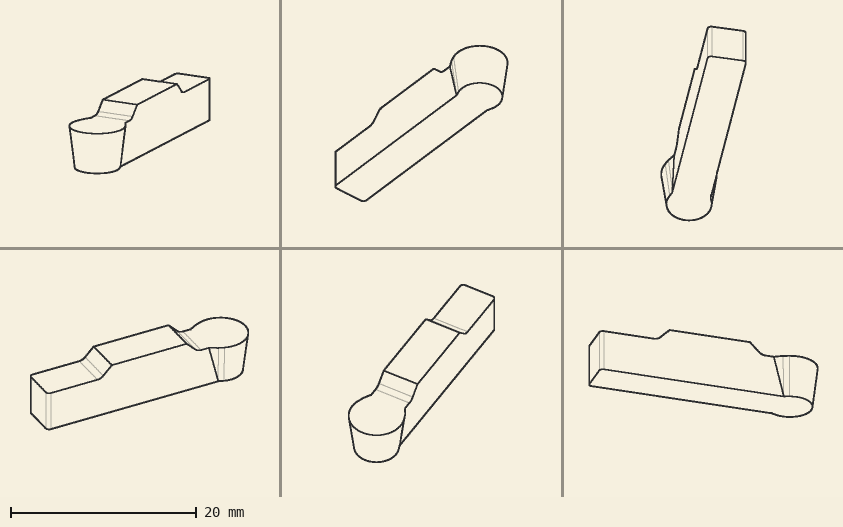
import cadquery as cq
import math

length = 25.2
height = 5.97
bar_width = 4.2
bar_height = 4.65
end_corner_radius = 0.4

pad_length = 9.13
pad_from_back = 7.85
ramp_fillet = 1.0

head_radius = 6.03 / 2
draft_angle = 7.0
flank_angle = math.radians(20)
neck_angle = math.radians(30)
flank_corner_y = 1.66
neck_end_y = 4.03

back_y = length - head_radius
pad_back_y = back_y - pad_from_back
pad_front_y = pad_back_y - pad_length
ramp_run = height - bar_height


def make_bar():
    """Stepped profile in the YZ plane, extruded across the width."""
    ramp_foot_front_y = pad_front_y - ramp_run
    ramp_foot_back_y = pad_back_y + ramp_run
    bar = (
        cq.Workplane("YZ")
        .moveTo(0, 0)
        .lineTo(back_y, 0)
        .lineTo(back_y, bar_height)
        .lineTo(ramp_foot_back_y, bar_height)
        .lineTo(pad_back_y, height)
        .lineTo(pad_front_y, height)
        .lineTo(ramp_foot_front_y, bar_height)
        .lineTo(0, bar_height)
        .close()
        .extrude(bar_width / 2, both=True)
    )
    bar = bar.edges("|Z and >Y").fillet(end_corner_radius)
    for foot_y in (ramp_foot_front_y, ramp_foot_back_y):
        foot_edge = cq.selectors.NearestToPointSelector((0, foot_y, bar_height))
        bar = bar.edges(foot_edge).fillet(ramp_fillet)
    return bar


def make_head():
    """Circle with two straight flanks per side, drafted down from the bar top."""
    tangent_x = head_radius * math.cos(flank_angle)
    tangent_y = head_radius * math.sin(flank_angle)
    corner_x = tangent_x - (flank_corner_y - tangent_y) * math.tan(flank_angle)
    neck_end_x = corner_x - (neck_end_y - flank_corner_y) * math.tan(neck_angle)
    return (
        cq.Workplane("XY", origin=(0, 0, bar_height))
        .moveTo(neck_end_x, neck_end_y)
        .lineTo(corner_x, flank_corner_y)
        .lineTo(tangent_x, tangent_y)
        .threePointArc((0, -head_radius), (-tangent_x, tangent_y))
        .lineTo(-corner_x, flank_corner_y)
        .lineTo(-neck_end_x, neck_end_y)
        .close()
        .extrude(-bar_height, taper=draft_angle)
    )


result = make_bar().union(make_head()).clean()